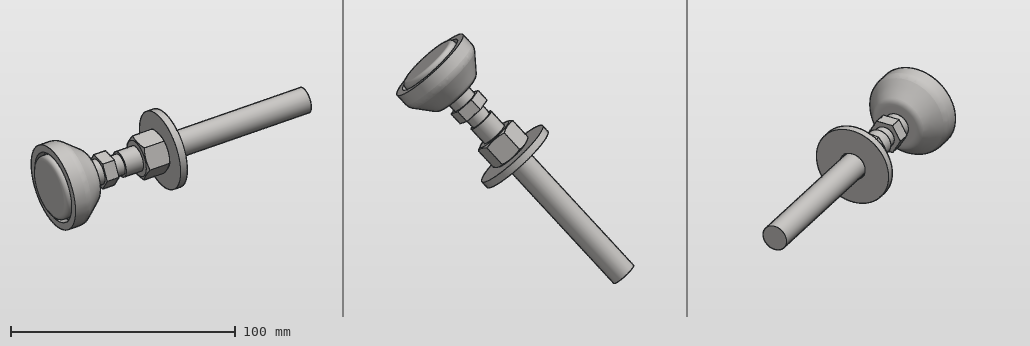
import cadquery as cq
import math

TOTAL_LENGTH = 131.0
HEX_HALF_ANGLE = math.pi / 6

FOOT_DIAMETER = 40.0
FOOT_TOP_DIAMETER = 23.3
FOOT_HEIGHT = 20.0
RIM_BOTTOM = 2.0
CONE_BOTTOM = 9.4
RIM_ROUND = 5.0
TOP_ROUND = 3.9
PAD_DIAMETER = 30.0
PAD_ROUND = 2.0
GROOVE_DIAMETER = 33.0
GROOVE_DEPTH = 3.9

ROD_DIAMETER = 12.0
NECK_DIAMETER = 10.0
SPINDLE_HEX_FLATS = 14.0
SPINDLE_HEX_BOTTOM = 25.0
NECK_BOTTOM = 31.0
NECK_TOP = 36.0

NUT_FLATS = 18.0
NUT_BOTTOM = 44.8
NUT_HEIGHT = 11.9
NUT_FACE_DIAMETER = 17.0
NUT_CHAMFER_ANGLE = 25.0
WASHER_DIAMETER = 37.0
WASHER_HOLE_DIAMETER = 13.0
WASHER_THICKNESS = 3.5


def disc(diameter, bottom, top):
    """Cylinder about Y between two heights."""
    return level(bottom).circle(diameter / 2).extrude(top - bottom)


def hexagon(flats, bottom, top):
    """Hexagonal prism about Y with two corners on the X direction."""
    corners = flats / math.cos(HEX_HALF_ANGLE)
    return level(bottom).polygon(6, corners).extrude(top - bottom)


def level(height):
    """Workplane facing +Y at the given height."""
    return cq.Workplane("XZ", origin=(0, height, 0)).transformed(rotate=(180, 0, 0))


def revolve_about_y(points):
    """Solid of revolution from (radius, height) points."""
    return cq.Workplane("XY").polyline(points).close().revolve(360, (0, 0, 0), (0, 1, 0))


def make_foot():
    rim_radius = FOOT_DIAMETER / 2
    shell = revolve_about_y([
        (0, RIM_BOTTOM),
        (rim_radius, RIM_BOTTOM),
        (rim_radius, CONE_BOTTOM),
        (FOOT_TOP_DIAMETER / 2, FOOT_HEIGHT),
        (0, FOOT_HEIGHT),
    ])
    shell = shell.faces(">Y").edges().fillet(TOP_ROUND)
    cone_edge = cq.selectors.NearestToPointSelector((0, CONE_BOTTOM, 0))
    shell = shell.edges("%CIRCLE").edges(cone_edge).fillet(RIM_ROUND)

    groove_top = RIM_BOTTOM + GROOVE_DEPTH
    recess = disc(GROOVE_DIAMETER, RIM_BOTTOM, groove_top)
    pad = disc(PAD_DIAMETER, 0, groove_top).faces("<Y").edges().fillet(PAD_ROUND)
    return shell.cut(recess).union(pad)


def make_spindle():
    collar = disc(ROD_DIAMETER, FOOT_HEIGHT, SPINDLE_HEX_BOTTOM)
    wrench_hex = hexagon(SPINDLE_HEX_FLATS, SPINDLE_HEX_BOTTOM, NECK_BOTTOM)
    neck = disc(NECK_DIAMETER, NECK_BOTTOM, NECK_TOP)
    rod = disc(ROD_DIAMETER, NECK_TOP, TOTAL_LENGTH)
    return collar.union(wrench_hex).union(neck).union(rod)


def make_nut():
    top = NUT_BOTTOM + NUT_HEIGHT
    face_radius = NUT_FACE_DIAMETER / 2
    corner_radius = NUT_FLATS / 2 / math.cos(HEX_HALF_ANGLE)
    chamfer_height = (corner_radius - face_radius) * math.tan(math.radians(NUT_CHAMFER_ANGLE))
    chamfer_envelope = revolve_about_y([
        (0, NUT_BOTTOM),
        (face_radius, NUT_BOTTOM),
        (corner_radius, NUT_BOTTOM + chamfer_height),
        (corner_radius, top - chamfer_height),
        (face_radius, top),
        (0, top),
    ])
    nut = hexagon(NUT_FLATS, NUT_BOTTOM, top).intersect(chamfer_envelope)
    return nut.cut(disc(ROD_DIAMETER, NUT_BOTTOM, top))


def make_washer():
    bottom = NUT_BOTTOM + NUT_HEIGHT
    top = bottom + WASHER_THICKNESS
    washer = disc(WASHER_DIAMETER, bottom, top)
    return washer.cut(disc(WASHER_HOLE_DIAMETER, bottom, top))


foot = make_foot()
spindle = make_spindle()
nut = make_nut()
washer = make_washer()

result = cq.Compound.makeCompound([foot.val(), spindle.val(), nut.val(), washer.val()])